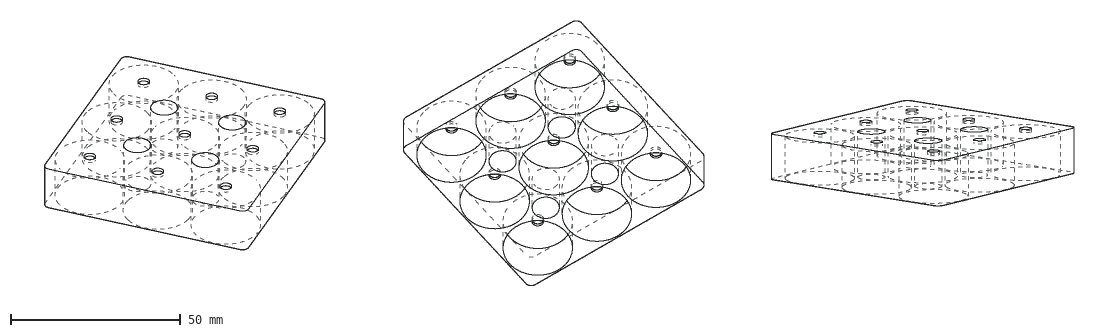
import cadquery as cq

side = 64.6
thickness = 13.7
corner_radius = 2.0

hole_pitch = 21.55
large_hole_diameter = 8.0
large_holes_per_side = 2
small_hole_diameter = 3.5
small_holes_per_side = 3

pocket_diameter = 20.5
roof_thickness = 1.0
pocket_depth = thickness - roof_thickness


def cylinder_grid(per_side, diameter, height):
    """Centred square grid of upright cylinders standing on Z = 0."""
    return (
        cq.Workplane("XY")
        .rarray(hole_pitch, hole_pitch, per_side, per_side)
        .circle(diameter / 2)
        .extrude(height)
    )


block = (
    cq.Workplane("XY")
    .box(side, side, thickness, centered=(True, True, False))
    .edges("|Z")
    .fillet(corner_radius)
)

large_holes = cylinder_grid(large_holes_per_side, large_hole_diameter, thickness)
small_holes = cylinder_grid(small_holes_per_side, small_hole_diameter, thickness)
pockets = cylinder_grid(small_holes_per_side, pocket_diameter, pocket_depth)

result = block.cut(large_holes).cut(small_holes).cut(pockets)